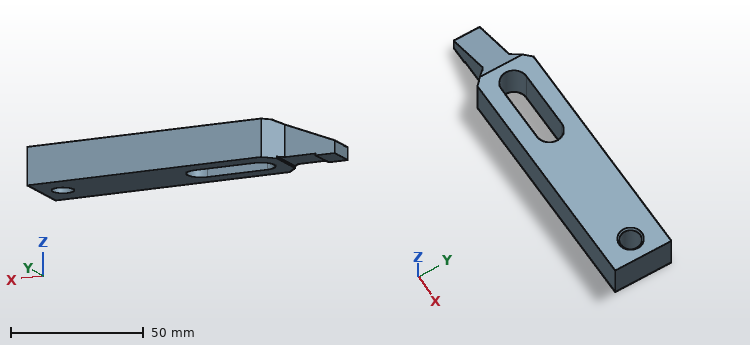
import cadquery as cq

length = 125.0
width = 25.0
height = 15.0

neck_width = 11.6
shoulder_end = 27.5
shoulder_start = shoulder_end - (width - neck_width) / 2
tip_height = 5.0
slope_end = 24.5

relief_start = 8.0
relief_end = 23.0
relief_depth = 0.8

slot_start = 28.0
slot_length = 36.0
slot_width = 11.0

hole_diameter = 8.5
countersink_diameter = 10.0
countersink_angle = 90
hole_end_distance = 9.0
hole_x = length - hole_end_distance


def side_profile():
    """Full-width body with the sloped nose and the relief below it."""
    outline = [
        (0, 0),
        (relief_start, 0),
        (relief_start, relief_depth),
        (relief_end, relief_depth),
        (relief_end, 0),
        (length, 0),
        (length, height),
        (slope_end, height),
        (0, tip_height),
    ]
    return cq.Workplane("XZ").polyline(outline).close().extrude(width / 2, both=True)


def plan_profile():
    """Full-height plan shape: narrow nose, shoulders and bar."""
    outline = [
        (0, -neck_width / 2),
        (shoulder_start, -neck_width / 2),
        (shoulder_end, -width / 2),
        (length, -width / 2),
        (length, width / 2),
        (shoulder_end, width / 2),
        (shoulder_start, neck_width / 2),
        (0, neck_width / 2),
    ]
    return cq.Workplane("XY").polyline(outline).close().extrude(height)


def stud_slot():
    slot = cq.Workplane("XY").center(slot_start + slot_length / 2, 0)
    return slot.slot2D(slot_length, slot_width).extrude(height)


body = side_profile().intersect(plan_profile()).cut(stud_slot())

result = (
    body.faces(">Z")
    .workplane(origin=(hole_x, 0, height))
    .cskHole(hole_diameter, countersink_diameter, countersink_angle)
)